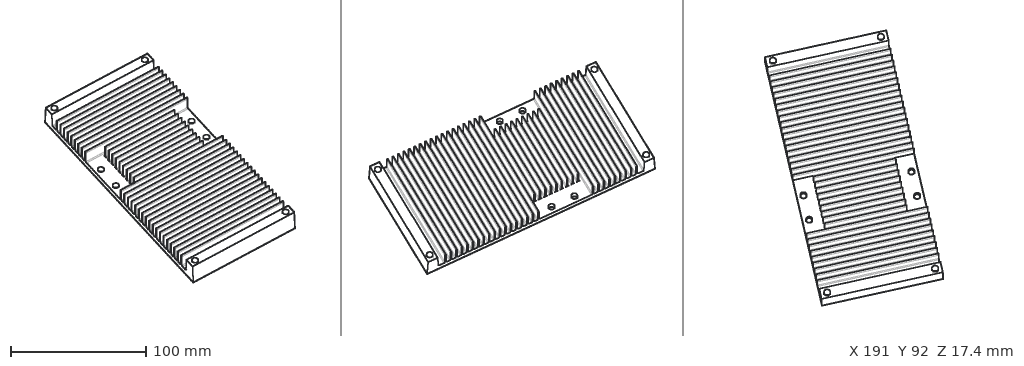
import cadquery as cq
import math

length = 191.0
width = 92.0
height = 17.4
base_thickness = 5.0

rail_foot = 9.5
rail_root_radius = 0.8
rail_draft = 3.0

fin_count = 36
fin_span = 160.0
fin_pitch = fin_span / (fin_count - 1)
fin_thickness = 1.1
fin_top = 16.0
fin_root_radius = 0.8

pad_left = -42.0
pad_right = 1.3
short_fin_length = 62.5

hole_diameter = 4.8
hole_spacing_y = 82.0
rail_hole_spacing_x = 181.3
pad_hole_centre_x = -21.0
pad_hole_spacing_x = 19.1


def extrude_along_y(outline):
    """Extrude an XZ outline over the full width, symmetric about the XZ plane."""
    return outline.extrude(width / 2, both=True)


def tray():
    """Base plate with one drafted rail along each end and a fillet at each rail's inner root."""
    slope = math.tan(math.radians(rail_draft))
    half = length / 2
    outer_top = half - height * slope
    inner_foot = half - rail_foot
    inner_top = inner_foot + (height - base_thickness) * slope
    right_side = [
        (half, 0),
        (outer_top, height),
        (inner_top, height),
        (inner_foot, base_thickness),
    ]
    left_side = [(-x, z) for x, z in reversed(right_side)]
    body = extrude_along_y(cq.Workplane("XZ").polyline(right_side + left_side).close())
    inner_roots = cq.selectors.BoxSelector(
        (-inner_foot - rail_root_radius, -width, base_thickness - rail_root_radius),
        (inner_foot + rail_root_radius, width, base_thickness + rail_root_radius),
    )
    return body.edges("|Y").edges(inner_roots).fillet(rail_root_radius)


def fin(x):
    """One fin with a full-round tip and filleted roots, sunk to mid-base for a sure join."""
    half = fin_thickness / 2
    foot = half + fin_root_radius
    root_top = base_thickness + fin_root_radius
    bulge = fin_root_radius * (1 - math.sqrt(0.5))
    shoulder = fin_top - half
    outline = (
        cq.Workplane("XZ")
        .moveTo(x - foot, base_thickness / 2)
        .lineTo(x + foot, base_thickness / 2)
        .lineTo(x + foot, base_thickness)
        .threePointArc((x + half + bulge, base_thickness + bulge), (x + half, root_top))
        .lineTo(x + half, shoulder)
        .threePointArc((x, fin_top), (x - half, shoulder))
        .lineTo(x - half, root_top)
        .threePointArc((x - half - bulge, base_thickness + bulge), (x - foot, base_thickness))
        .close()
    )
    return extrude_along_y(outline)


def pad_clearance(side):
    """Block that clears the fins above one mounting pad, down to the base; side is +1 or -1 in Y."""
    pad_depth = (width - short_fin_length) / 2
    centre_x = (pad_left + pad_right) / 2
    centre_y = side * (width - pad_depth) / 2
    return (
        cq.Workplane("XY", origin=(centre_x, centre_y, base_thickness))
        .rect(pad_right - pad_left, pad_depth)
        .extrude(height)
    )


def mounting_holes(centre_x, spacing_x):
    """Rectangular pattern of four vertical through holes."""
    return (
        cq.Workplane("XY")
        .center(centre_x, 0)
        .rect(spacing_x, hole_spacing_y, forConstruction=True)
        .vertices()
        .circle(hole_diameter / 2)
        .extrude(height)
    )


result = tray()
for index in range(fin_count):
    result = result.union(fin(index * fin_pitch - fin_span / 2))

for side in (-1, 1):
    result = result.cut(pad_clearance(side))

result = result.cut(mounting_holes(0, rail_hole_spacing_x))
result = result.cut(mounting_holes(pad_hole_centre_x, pad_hole_spacing_x))